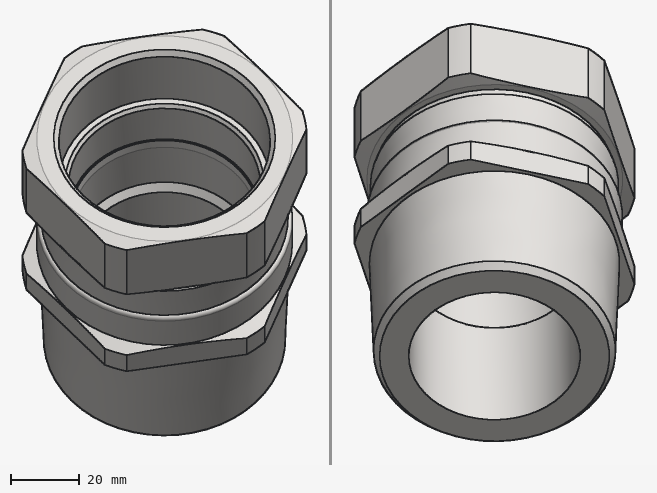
import cadquery as cq
import math

total_height = 99.75
across_flats = 75.0
corner_radius = 41.5
hex_face_radius = 37.2

thread_top = 40.0
body_hex_top = 49.0
collar_top = 61.9
body_shoulder = 73.8
spigot_top = 77.8

thread_tip_radius = 33.4
thread_start_radius = 35.2
thread_top_radius = 36.4
thread_chamfer_height = 2.2
body_hex_chamfer = 1.1
collar_radius = 37.2
collar_round = 1.2
sleeve_bottom_radius = collar_radius - collar_round
sleeve_top_radius = 36.1

passage_radius = 24.9
middle_bore_radius = 27.0
seat_top_radius = 27.4
socket_radius = 27.9
socket_chamfer = 1.0
socket_floor = 61.8
seat_bottom = 59.2
passage_cone_bottom = thread_top
passage_cone_top = passage_cone_bottom + middle_bore_radius - passage_radius

nut_hex_bottom = 76.8
nut_neck_radius = 35.2
nut_bore_radius = 30.7
nut_bore_chamfer = 1.5
nut_hex_chamfer = 0.7


def revolve_profile(points):
    """Turn a closed (radius, height) outline around the Z axis."""
    return cq.Workplane("XZ").polyline(points).close().revolve(360, (0, 0, 0), (0, 1, 0))


def make_hexagon(bottom, top, top_chamfer, bottom_chamfer):
    """Hexagon with flats facing +X and -X, rounded corners and conical end chamfers."""
    hexagon = (
        cq.Workplane("XY", origin=(0, 0, bottom))
        .polygon(6, across_flats / math.cos(math.pi / 6))
        .extrude(top - bottom)
        .rotate((0, 0, 0), (0, 0, 1), 30)
    )
    envelope_points = [(0, bottom)]
    if bottom_chamfer > 0:
        envelope_points.append((hex_face_radius, bottom))
    envelope_points += [
        (corner_radius, bottom + bottom_chamfer),
        (corner_radius, top - top_chamfer),
        (hex_face_radius, top),
        (0, top),
    ]
    return hexagon.intersect(revolve_profile(envelope_points))


def make_body():
    """Fitting with a tapered thread end, hexagon, collar, sleeve and spigot."""
    thread = revolve_profile([
        (0, 0),
        (thread_tip_radius, 0),
        (thread_start_radius, thread_chamfer_height),
        (thread_top_radius, thread_top),
        (0, thread_top),
    ])
    hexagon = make_hexagon(thread_top, body_hex_top, body_hex_chamfer, 0)
    collar = (
        cq.Workplane("XY", origin=(0, 0, body_hex_top))
        .circle(collar_radius)
        .extrude(collar_top - body_hex_top)
        .faces(">Z").edges().fillet(collar_round)
    )
    sleeve_and_spigot = revolve_profile([
        (0, collar_top),
        (sleeve_bottom_radius, collar_top),
        (sleeve_top_radius, body_shoulder),
        (nut_bore_radius, body_shoulder),
        (nut_bore_radius, spigot_top),
        (0, spigot_top),
    ])
    passage = revolve_profile([
        (0, 0),
        (passage_radius, 0),
        (passage_radius, passage_cone_bottom),
        (middle_bore_radius, passage_cone_top),
        (middle_bore_radius, seat_bottom),
        (seat_top_radius, socket_floor),
        (socket_radius, socket_floor),
        (socket_radius, spigot_top - socket_chamfer),
        (socket_radius + socket_chamfer, spigot_top),
        (0, spigot_top),
    ])
    return thread.union(hexagon).union(collar).union(sleeve_and_spigot).cut(passage)


def make_nut():
    """Hexagon nut with a short round neck that seats on the body shoulder."""
    hexagon = make_hexagon(nut_hex_bottom, total_height, nut_hex_chamfer, nut_hex_chamfer)
    neck = (
        cq.Workplane("XY", origin=(0, 0, body_shoulder))
        .circle(nut_neck_radius)
        .extrude(nut_hex_bottom - body_shoulder)
    )
    bore = revolve_profile([
        (0, body_shoulder),
        (nut_bore_radius, body_shoulder),
        (nut_bore_radius, total_height - nut_bore_chamfer),
        (nut_bore_radius + nut_bore_chamfer, total_height),
        (0, total_height),
    ])
    return hexagon.union(neck).cut(bore)


body = make_body()
nut = make_nut()
result = cq.Compound.makeCompound([body.val(), nut.val()])